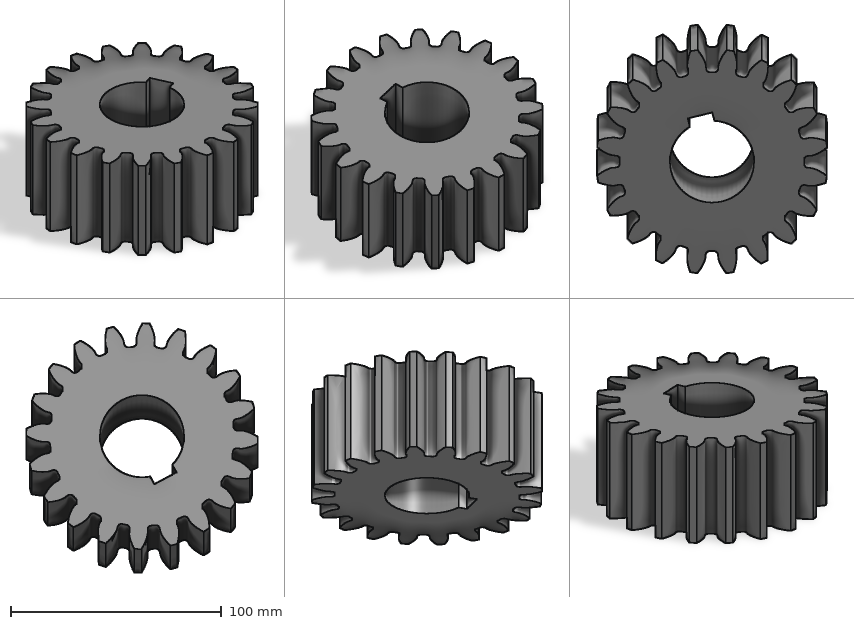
import cadquery as cq
import math

tooth_count = 20
tip_radius = 55.0
pressure_angle = math.radians(20)
dedendum_ratio = 1.25
root_fillet = 2.0
face_width = 50.0

bore_diameter = 40.0
keyway_width = 12.0
keyway_height = 23.3

module = 2 * tip_radius / (tooth_count + 2)
pitch_radius = module * tooth_count / 2
root_radius = pitch_radius - dedendum_ratio * module
base_radius = pitch_radius * math.cos(pressure_angle)

tooth_pitch = 2 * math.pi / tooth_count
base_half_angle = tooth_pitch / 4 + math.tan(pressure_angle) - pressure_angle
tip_roll = math.sqrt((tip_radius / base_radius) ** 2 - 1)
tip_half_angle = base_half_angle - (tip_roll - math.atan(tip_roll))

first_tooth_angle = base_half_angle
flank_points = 8


def polar(radius, angle):
    return (radius * math.cos(angle), radius * math.sin(angle))


def distance_from_axis(edge):
    return math.hypot(edge.Center().x, edge.Center().y)


def involute_flank(tooth_angle, side):
    """Points from base circle to tip on one flank; side is -1 (clockwise) or +1."""
    points = []
    for i in range(flank_points):
        roll = tip_roll * i / (flank_points - 1)
        radius = base_radius * math.sqrt(1 + roll**2)
        half_angle = base_half_angle - (roll - math.atan(roll))
        points.append(polar(radius, tooth_angle + side * half_angle))
    return points


def add_tooth(outline, tooth_angle):
    """Draw one tooth, then the root arc that leads to the next tooth."""
    rising = involute_flank(tooth_angle, -1)
    falling = involute_flank(tooth_angle, 1)[::-1]
    gap_middle = tooth_angle + tooth_pitch / 2
    next_tooth_start = tooth_angle + tooth_pitch - base_half_angle
    return (
        outline.lineTo(*rising[0])
        .spline(rising[1:], includeCurrent=True)
        .threePointArc(polar(tip_radius, tooth_angle), polar(tip_radius, tooth_angle + tip_half_angle))
        .spline(falling[1:], includeCurrent=True)
        .lineTo(*polar(root_radius, tooth_angle + base_half_angle))
        .threePointArc(polar(root_radius, gap_middle), polar(root_radius, next_tooth_start))
    )


def make_blank():
    """Toothed body with radial flanks below the base circle and rounded roots."""
    outline = cq.Workplane("XY").moveTo(*polar(root_radius, first_tooth_angle - base_half_angle))
    for i in range(tooth_count):
        outline = add_tooth(outline, first_tooth_angle + i * tooth_pitch)
    body = outline.close().extrude(face_width)

    corner_limit = (root_radius + base_radius) / 2
    upright_edges = body.edges("|Z").vals()
    root_corners = [edge for edge in upright_edges if distance_from_axis(edge) < corner_limit]
    return body.newObject(root_corners).fillet(root_fillet)


def make_bore():
    """Through bore joined with the keyway slot on its +Y side."""
    bore = cq.Workplane("XY").circle(bore_diameter / 2).extrude(face_width)
    keyway = cq.Workplane("XY").box(keyway_width, keyway_height, face_width, centered=(True, False, False))
    return bore.union(keyway)


result = make_blank().cut(make_bore())